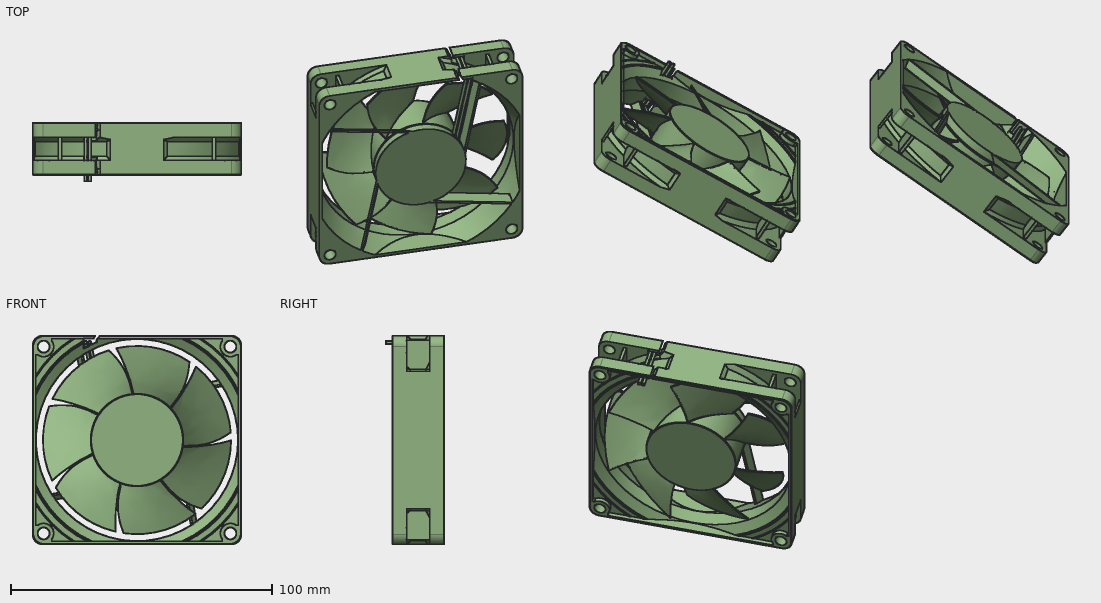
import cadquery as cq
import math


frame_width = 80.0
frame_depth = 20.0
corner_radius = 4.0
edge_chamfer = 0.3
rim_thickness = 1.2
flange_gap = 8.8
hole_pitch = 71.5
hole_diameter = 4.5

half_width = frame_width / 2
back_y = frame_depth / 2
front_y = -back_y
gap_y = flange_gap / 2
recess_half = half_width - rim_thickness
hole_offset = hole_pitch / 2

throat_radius = 38.6
throat_front_y = -5.8
throat_back_y = 0.6
mouth_radius = 42.8
barrel_radius = 40.2
barrel_length = 5.6
barrel_front_radius = 41.3
barrel_back_radius = 42.3
barrel_y = barrel_length / 2

pocket_depth = 1.8
ridge_width = 0.4
ridge_height = 0.2
rib_radius = 45.6
boss_radius = 3.8
boss_neck = 3.1

notch_top_start = 10.2
notch_top_slope = 1.4
skin_thickness = 0.7
skin_top = 26.3
notch_side_end = 9.6
web_x = 29.5
web_thickness = 1.3
web_top = 38.2

slit_top_left = -15.9
slit_top_right = -14.2
slit_bottom_left = -16.6
slit_bottom_right = -15.6
outlet_floor_radius = 40.6
outlet_right = -15.1
outlet_left = -20.5
outlet_knee_z = 38.2
outlet_shoulder_z = 37.2
outlet_bottom_z = 32.0
wire_diameter = 1.2
wire_positions = (-19.7, -18.1)
wire_z = 37.4
wire_overhang = 2.4
wire_run_y = 8.4
wire_run_length = 29.6

hub_radius = 17.8
hub_front_y = -9.2
hub_chamfer = 0.2
gap_front_y = 6.2
gap_width = 0.6
neck_radius = 16.0
blade_count = 7
blade_front_y = -9.1
blade_radius = 36.1
blade_thickness = 0.6
blade_depth = 14.4
leading_edge = ((16.0, 93.8), (17.8, 94.3), (25.6, 97.9), (36.0, 102.7), (40.0, 104.8))
trailing_edge = ((16.0, 43.6), (17.8, 44.2), (27.2, 48.6), (36.0, 56.0), (40.0, 59.8))
strut_count = 4
strut_width = 2.5
strut_depth = back_y - gap_front_y - gap_width
strut_thickness = 0.8
strut_offset = 15.4
strut_length = 41.6
strut_angle = 10.8

AXIS_START = (0, 0, 0)
AXIS_END = (0, 1, 0)


def plane_at(y):
    """Sketch plane across the airflow: local x is X, local y is Z, extrusion runs toward -Y."""
    return cq.Workplane("XZ", origin=(0, y, 0))


def disc(radius, y_from, y_to):
    return plane_at(y_to).circle(radius).extrude(y_to - y_from)


def slab(width, y_from, y_to):
    return plane_at(y_to).rect(width, width).extrude(y_to - y_from)


def revolve(profile):
    """Turn a closed (radius, y) outline about the airflow axis."""
    return cq.Workplane("XY").polyline(profile).close().revolve(360, AXIS_START, AXIS_END)


def four_corners(corner):
    """Union of a shape in the +X +Z corner with its mirror images."""
    pair = corner.union(corner.mirror("YZ"))
    return pair.union(pair.mirror("XY"))


def frame_block():
    block = slab(frame_width, front_y, back_y).edges("|Y").fillet(corner_radius)
    return block.faces("<Y").edges().chamfer(edge_chamfer)


def bore():
    """Throat flaring to both ends, trimmed to the inside of the square rim."""
    lip_y = front_y + pocket_depth - ridge_height
    flared = revolve([
        (0, front_y),
        (mouth_radius, front_y),
        (mouth_radius, lip_y),
        (throat_radius, throat_front_y),
        (throat_radius, throat_back_y),
        (mouth_radius, back_y),
        (0, back_y),
    ])
    return flared.intersect(slab(2 * recess_half, front_y, back_y))


def corner_pockets():
    """Sunken intake corners with two low ridges, leaving full-height bosses at the screw holes."""
    floor_y = front_y + pocket_depth
    ridge_y = floor_y - ridge_height
    pockets = slab(2 * recess_half, front_y, floor_y)
    for radius in (mouth_radius, rib_radius):
        ridge = disc(radius + ridge_width, ridge_y, floor_y).cut(disc(radius, ridge_y, floor_y))
        pockets = pockets.cut(ridge)
    neck_z = hole_offset + math.sqrt(boss_radius**2 - boss_neck**2)
    boss = plane_at(floor_y).center(hole_offset, hole_offset).circle(boss_radius).extrude(pocket_depth)
    necks = (
        ((hole_offset - boss_neck, neck_z), (half_width, half_width)),
        ((neck_z, hole_offset - boss_neck), (half_width, half_width)),
    )
    for (x_low, z_low), (x_high, z_high) in necks:
        neck = cq.Workplane("XY").box(x_high - x_low, pocket_depth, z_high - z_low, centered=False)
        boss = boss.union(neck.translate((x_low, front_y, z_low)))
    return pockets.cut(four_corners(boss))


def corner_notches():
    """Cavities around the barrel, open at the corners and crossed by webs; a thin side skin remains."""
    barrel = revolve([
        (0, -gap_y),
        (barrel_front_radius, -gap_y),
        (barrel_radius, -barrel_y),
        (barrel_radius, barrel_y),
        (barrel_back_radius, gap_y),
        (0, gap_y),
    ])
    skin_inner = half_width - skin_thickness
    corner = (
        plane_at(gap_y)
        .moveTo(notch_top_start, half_width)
        .lineTo(notch_top_start + notch_top_slope, half_width - notch_top_slope)
        .lineTo(skin_inner, notch_side_end)
        .lineTo(skin_inner, skin_top + skin_thickness)
        .lineTo(half_width, skin_top)
        .lineTo(half_width, half_width)
        .close()
        .extrude(flange_gap)
        .cut(barrel)
    )
    web = cq.Workplane("XY").box(web_thickness, flange_gap, web_top, centered=(True, True, False))
    return four_corners(corner.cut(web.translate((web_x, 0, 0))))


def mounting_holes():
    centers = plane_at(back_y).rect(hole_pitch, hole_pitch, forConstruction=True).vertices()
    return centers.circle(hole_diameter / 2).extrude(frame_depth)


def cable_outlet():
    """Opening beside the barrel with an oblique slit through the top rim."""
    outline = [
        (slit_top_left, half_width),
        (slit_bottom_left, recess_half),
        (outlet_left, recess_half),
        (outlet_left, outlet_bottom_z),
        (outlet_right, outlet_bottom_z),
        (outlet_right, outlet_shoulder_z),
        (slit_bottom_right, outlet_knee_z),
        (slit_top_right, half_width),
    ]
    opening = plane_at(back_y).polyline(outline).close().extrude(frame_depth)
    return opening.cut(disc(outlet_floor_radius, front_y, back_y))


def hub():
    """Rotor cup and motor base, parted by a narrow gap around a central neck."""
    gap_back_y = gap_front_y + gap_width
    rotor = disc(hub_radius, hub_front_y, gap_front_y).faces("<Y").edges().chamfer(hub_chamfer)
    neck = disc(neck_radius, gap_front_y, gap_back_y)
    base = disc(hub_radius, gap_back_y, back_y)
    return rotor.union(neck).union(base)


def edge_curve(points, y):
    """Spline at depth y through polar points about the airflow axis."""
    return cq.Edge.makeSpline([
        cq.Vector(r * math.cos(math.radians(a)), y, r * math.sin(math.radians(a))) for r, a in points
    ])


def blades():
    """Blades ruled between a leading edge near the intake and a trailing edge behind it."""
    leading = edge_curve(leading_edge, blade_front_y)
    trailing = edge_curve(trailing_edge, blade_front_y + blade_depth)
    surface = cq.Face.makeRuledSurface(leading, trailing)
    sheet = cq.Solid.extrudeLinear(surface, cq.Vector(0, blade_thickness, 0))
    blade = cq.Workplane(sheet).intersect(disc(blade_radius, front_y, back_y))
    return [blade.rotate(AXIS_START, AXIS_END, i * 360 / blade_count) for i in range(blade_count)]


def struts():
    """Vanes that lean against the blade pitch and run past the hub on one side."""
    half = strut_width / 2
    section = [
        (half, back_y - strut_depth),
        (half - strut_thickness, back_y - strut_depth),
        (-half, back_y),
        (strut_thickness - half, back_y),
    ]
    strut = (
        cq.Workplane("XY")
        .polyline(section)
        .close()
        .extrude(strut_length)
        .translate((-strut_offset, 0, 0))
        .rotate(AXIS_START, AXIS_END, -strut_angle)
    )
    return [strut.rotate(AXIS_START, AXIS_END, i * 360 / strut_count) for i in range(strut_count)]


def wires():
    """Each wire leaves the hub beside a strut, bends at the outlet and sticks out of the intake face."""
    tilt = math.radians(strut_angle)
    shapes = []
    for x in wire_positions:
        bend = cq.Vector(x, wire_run_y, wire_z)
        inward = cq.Vector(math.sin(tilt), 0, -math.cos(tilt))
        radius = wire_diameter / 2
        pin_length = wire_run_y - front_y + wire_overhang
        pin = cq.Solid.makeCylinder(radius, pin_length, bend, cq.Vector(0, -1, 0))
        run = cq.Solid.makeCylinder(radius, wire_run_length, bend, inward)
        elbow = cq.Workplane("XY").sphere(radius).translate(bend)
        shapes += [cq.Workplane(pin), cq.Workplane(run), elbow]
    return shapes


fan = frame_block()
side_openings = corner_notches().union(cable_outlet())
for opening in (bore(), corner_pockets(), side_openings, mounting_holes()):
    fan = fan.cut(opening)
fan = fan.union(hub())
for piece in blades() + struts() + wires():
    fan = fan.union(piece)
result = fan